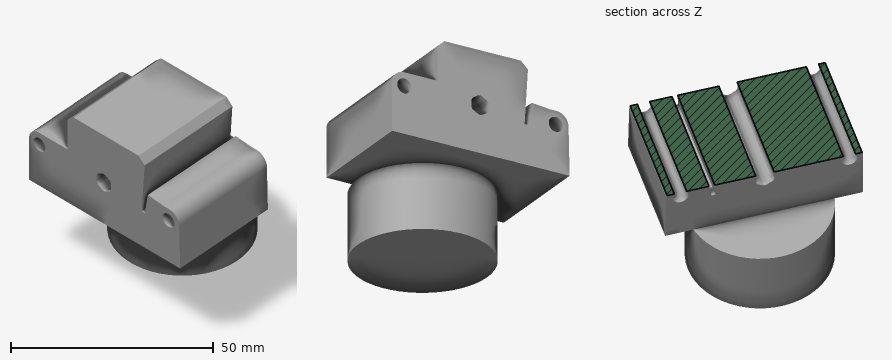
import cadquery as cq
import math

block_width = 50.95
block_depth = 31.7
block_height = 28.0

shoulder_height = 16.75
shoulder_radius = 3.4
right_shoulder_top_x = 50.55

raised_left_x = 12.95
raised_right_x = 39.0
chamfer_width = 2.05
chamfer_drop = 1.95

slot_floor_left_x = 38.0
slot_floor_left_z = 11.05
slot_floor_right_x = 39.05
slot_floor_right_z = 10.9
lip_tip_x = 40.05
lip_tip_z = 17.25
lip_end_x = 45.45

hole_level = 13.05
pin_hole_diameter = 4.0
pin_hole_spacing = 43.5
bore_x = 25.2
bore_across_flats = 4.95
bore_corner_diameter = 5.3

base_diameter = 37.1
base_height = 18.0
base_center_x = block_width / 2
base_center_y = 28.05


def along_depth(sketch):
    """Extrude a front-plane sketch through the full block depth toward +Y."""
    return sketch.extrude(-block_depth)


def make_block_blank():
    """Stepped outline with the chamfered centre, slot and lip."""
    chamfer_z = block_height - chamfer_drop
    blank = along_depth(
        cq.Workplane("XZ")
        .moveTo(0, 0)
        .lineTo(0, shoulder_height)
        .lineTo(raised_left_x, shoulder_height)
        .lineTo(raised_left_x, chamfer_z)
        .lineTo(raised_left_x + chamfer_width, block_height)
        .lineTo(raised_right_x - chamfer_width, block_height)
        .lineTo(raised_right_x, chamfer_z)
        .lineTo(slot_floor_left_x, slot_floor_left_z)
        .lineTo(slot_floor_right_x, slot_floor_right_z)
        .lineTo(lip_tip_x, lip_tip_z)
        .lineTo(lip_end_x, shoulder_height)
        .lineTo(right_shoulder_top_x, shoulder_height)
        .lineTo(block_width, 0)
        .close()
    )
    for corner_x in (0, right_shoulder_top_x):
        corner = cq.selectors.NearestToPointSelector((corner_x, block_depth / 2, shoulder_height))
        blank = blank.edges(corner).fillet(shoulder_radius)
    return blank


def make_pin_holes():
    """Pair of round holes through the shoulders, evenly placed about the hex bore."""
    return along_depth(
        cq.Workplane("XZ", origin=(bore_x, 0, hole_level))
        .pushPoints([(-pin_hole_spacing / 2, 0), (pin_hole_spacing / 2, 0)])
        .circle(pin_hole_diameter / 2)
    )


def make_hex_bore():
    """Hexagonal bore with upright side flats and its corners rounded by a circle."""
    bore_plane = cq.Workplane("XZ", origin=(bore_x, 0, hole_level))
    across_corners = bore_across_flats / math.cos(math.pi / 6)
    hexagon = along_depth(bore_plane.transformed(rotate=(0, 0, 30)).polygon(6, across_corners))
    corner_round = along_depth(bore_plane.circle(bore_corner_diameter / 2))
    return hexagon.intersect(corner_round)


def make_block():
    return make_block_blank().cut(make_pin_holes()).cut(make_hex_bore())


def make_base():
    """Cylinder standing under the block and reaching out behind it."""
    return (
        cq.Workplane("XY")
        .center(base_center_x, base_center_y)
        .circle(base_diameter / 2)
        .extrude(-base_height)
    )


block = make_block()
base = make_base()
result = cq.Compound.makeCompound([block.solids().val(), base.val()])